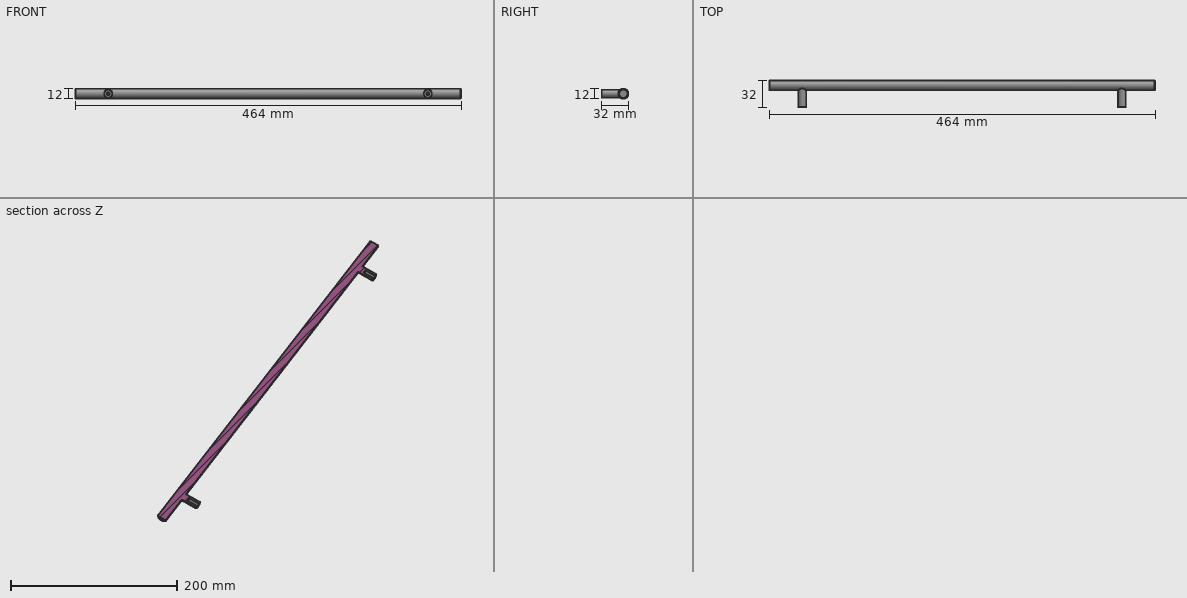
import cadquery as cq

bar_length = 464.0
bar_diameter = 12.0
end_chamfer = 1.0

overall_depth = 32.0
post_diameter = 9.7
post_overhang = 40.0
post_spacing = bar_length - 2 * post_overhang
post_reach = overall_depth - bar_diameter / 2

screw_hole_diameter = 3.2
screw_hole_depth = 14.0


def make_bar():
    """Round bar centred on the origin, with both end rims chamfered."""
    end_plane = cq.Workplane("YZ", origin=(-bar_length / 2, 0, 0))
    bar = end_plane.circle(bar_diameter / 2).extrude(bar_length)
    return bar.faces("<X or >X").edges().chamfer(end_chamfer)


def make_post(x):
    """Round post from the bar axis to its flat foot."""
    return cq.Workplane("XZ").center(x, 0).circle(post_diameter / 2).extrude(post_reach)


def make_screw_hole(x):
    """Blind hole volume running from the post foot back toward the bar."""
    foot_plane = cq.Workplane("XZ", origin=(x, -post_reach, 0))
    return foot_plane.circle(screw_hole_diameter / 2).extrude(-screw_hole_depth)


result = make_bar()
for post_x in (-post_spacing / 2, post_spacing / 2):
    result = result.union(make_post(post_x)).cut(make_screw_hole(post_x))